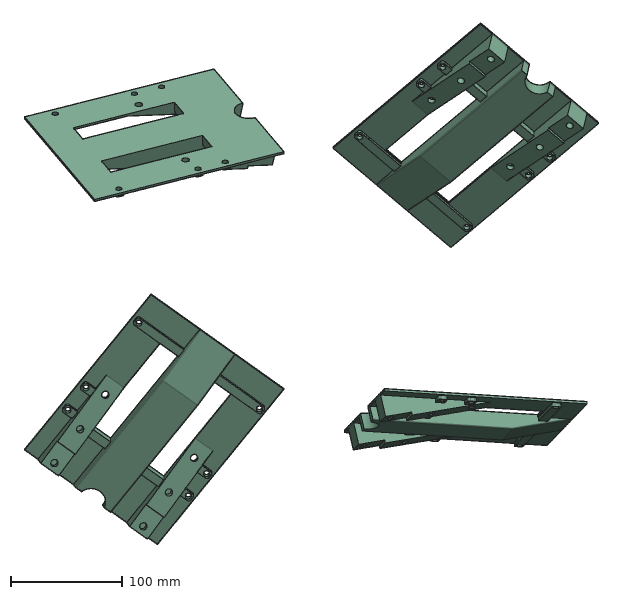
import cadquery as cq
import math

plate_width = 150.0
plate_length = 187.5
plate_thickness = 2.2
overall_height = 22.0
back = plate_length / 2
front = -plate_length / 2
underside = -plate_thickness

tilt = math.radians(13)
slope = math.tan(tilt)

slot_width = 20.0
slot_inner = 20.0
slot_outer = slot_inner + slot_width
slot_back = 38.5
slot_length = 100.0

box_depth = 15.0
box_edge_radius = 1.0

leg_width = slot_width
leg_center = slot_outer + leg_width / 2
leg_outer = slot_outer + leg_width
leg_front = -8.0
heel_front = 64.5
heel_step = 2.8
leg_hole_diameter = 6.5
leg_hole_depth = 10.0
first_leg_hole = 15.0
leg_hole_pitch = 38.5
leg_hole_count = 3

mount_hole_diameter = 5.5
mount_hole_x = 68.0
mount_hole_ys = (-66.5, 11.8, 38.8)
pad_bottom = -5.8
pad_width = 8.2
pad_corner_radius = 2.2
pad_end = 72.2
right_pad_width = 7.9

crossbar_bottom = -10.1
notch_radius = 13.1


def block(x_min, x_max, y_min, y_max, z_min, z_max):
    size = (x_max - x_min, y_max - y_min, z_max - z_min)
    return cq.Workplane().box(*size, centered=False).translate((x_min, y_min, z_min))


def side_profile(points, x_center, width):
    """Extrude a (Y, Z) outline symmetrically about X = x_center."""
    outline = cq.Workplane("YZ", origin=(x_center, 0, 0)).polyline(points).close()
    return outline.extrude(width / 2, both=True)


def back_face_y(z):
    """Y of the tilted rear face, which starts at the lower rear edge of the plate."""
    return back - (underside - z) * slope


def wedge_box():
    """Ramped box with its lower side edges rounded."""
    bottom = -box_depth
    ramp_end = front + (underside - bottom) / slope
    points = [
        (front, underside),
        (ramp_end, bottom),
        (back_face_y(bottom), bottom),
        (back, underside),
    ]
    box = side_profile(points, 0, 2 * slot_inner)
    lower_side_edges = box.faces("<Z or <Y").edges("<X or >X")
    return lower_side_edges.fillet(box_edge_radius)


def leg_face_z(y):
    """Height of the unrelieved sloping face of a leg."""
    return underside - (y - leg_front) * slope


def leg(x_center):
    """Wedge-shaped leg with a relieved stretch at the rear of its sloping face."""
    heel_z = leg_face_z(heel_front)
    step_y = heel_front + heel_step * math.sin(tilt)
    step_z = heel_z + heel_step * math.cos(tilt)
    points = [
        (leg_front, underside),
        (heel_front, heel_z),
        (step_y, step_z),
        (back_face_y(-overall_height), -overall_height),
        (back, underside),
    ]
    return side_profile(points, x_center, leg_width)


def leg_holes(x_center):
    """Holes square to the sloping face of a leg; only the front one breaks through the plate."""
    inward = cq.Vector(0, math.sin(tilt), math.cos(tilt))
    cutters = cq.Workplane()
    for index in range(leg_hole_count):
        distance = first_leg_hole + index * leg_hole_pitch
        y = leg_front + distance * math.cos(tilt)
        mouth = cq.Vector(x_center, y, leg_face_z(y))
        cutters = cutters.add(
            cq.Solid.makeCylinder(leg_hole_diameter / 2, leg_hole_depth, mouth, inward)
        )
    return cutters.combine()


def pad(x_inner, x_end, y_center, width):
    """Flat strip under the plate, with its outer end rounded at both corners."""
    x_min, x_max = sorted((x_inner, x_end))
    strip = block(x_min, x_max, y_center - width / 2, y_center + width / 2, pad_bottom, underside)
    outer_side = ">X" if x_end > x_inner else "<X"
    return strip.faces(outer_side).edges("|Z").fillet(pad_corner_radius)


plate = block(-plate_width / 2, plate_width / 2, front, back, underside, 0)
body = plate.union(wedge_box())

for side in (-1, 1):
    body = body.union(leg(side * leg_center))

for y in mount_hole_ys:
    left_inner = leg_outer if y == min(mount_hole_ys) else -leg_outer
    body = body.union(pad(left_inner, -pad_end, y, pad_width))
    body = body.union(pad(leg_outer, pad_end, y, right_pad_width))

crossbar = block(-slot_outer, slot_outer, slot_back, slot_back + pad_width, crossbar_bottom, underside)
body = body.union(crossbar)

for side in (-1, 1):
    slot_x = side * (slot_inner + slot_outer) / 2
    slot = block(
        slot_x - slot_width / 2, slot_x + slot_width / 2,
        slot_back - slot_length, slot_back,
        -overall_height, 0,
    )
    body = body.cut(slot).cut(leg_holes(side * leg_center))

notch = cq.Workplane().center(0, back).circle(notch_radius).extrude(-overall_height)
mount_points = [(side * mount_hole_x, y) for side in (-1, 1) for y in mount_hole_ys]
mount_holes = cq.Workplane().pushPoints(mount_points).circle(mount_hole_diameter / 2).extrude(pad_bottom)

result = body.cut(notch).cut(mount_holes)